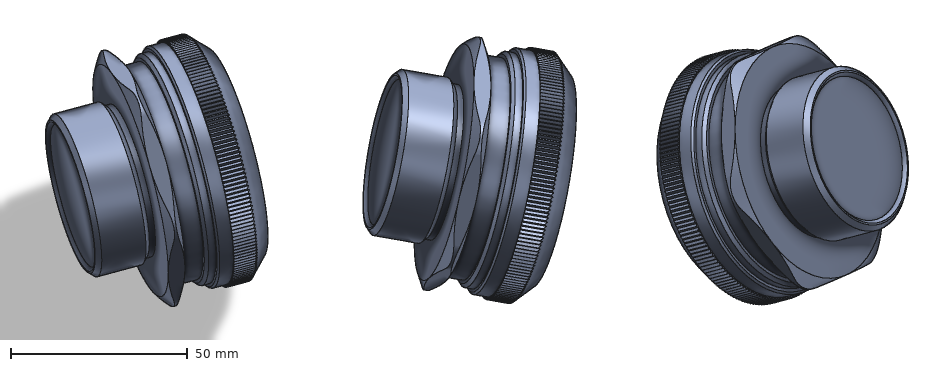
import cadquery as cq
import math


spigot_diameter = 47.8
spigot_neck_diameter = 44.9
spigot_chamfer = (spigot_diameter - spigot_neck_diameter) / 2
spigot_shoulder_end = 16.1
recess_mouth_diameter = 43.8
recess_floor_diameter = 41.8
recess_depth = (recess_mouth_diameter - recess_floor_diameter) / 2

hex_start = 17.95
hex_thickness = 5.0
hex_across_flats = 68.0
hex_across_rounded_corners = 75.4
hex_bevel_angle = 30.0
hex_end = hex_start + hex_thickness

body_neck_diameter = 64.0
ring_start = 29.0
ring_diameter = 68.0
ring_chamfer = 1.0
collar_start = 32.2
collar_diameter = 71.0
collar_chamfer = 0.6

cap_start = 36.9
cap_end = 48.8
cap_diameter = 72.5
cap_face_diameter = 61.5
cap_cone_height = (cap_diameter - cap_face_diameter) / 2
knurl_root_diameter = 71.1
tooth_count = 180


def revolve_about_y(profile):
    """Solid of revolution from (radius, y) points, closed along the Y axis."""
    points = [(0, profile[0][1])] + profile + [(0, profile[-1][1])]
    return cq.Workplane("XY").polyline(points).close().revolve(360, (0, 0, 0), (0, 1, 0))


def plane_at(y):
    """XZ workplane at the given Y; extrude by a negative distance to go towards +Y."""
    return cq.Workplane("XZ", origin=(0, y, 0))


def make_spigot():
    radius = spigot_diameter / 2
    neck_radius = spigot_neck_diameter / 2
    spigot = revolve_about_y([
        (neck_radius, 0),
        (radius, spigot_chamfer),
        (radius, spigot_shoulder_end - spigot_chamfer),
        (neck_radius, spigot_shoulder_end),
        (neck_radius, hex_start),
    ])
    recess = revolve_about_y([
        (recess_mouth_diameter / 2, 0),
        (recess_floor_diameter / 2, recess_depth),
    ])
    return spigot.cut(recess)


def make_hexagon():
    corner_to_flat_ratio = 1 / math.cos(math.pi / 6)
    across_corners = hex_across_flats * corner_to_flat_ratio
    corner_removed = (across_corners - hex_across_rounded_corners) / 2
    corner_radius = corner_removed / (corner_to_flat_ratio - 1)
    prism = (
        plane_at(hex_start)
        .transformed(rotate=(0, 0, 90))
        .polygon(6, across_corners)
        .extrude(-hex_thickness)
        .edges("|Y")
        .fillet(corner_radius)
    )
    face_radius = hex_across_flats / 2
    bevel_slope = math.tan(math.radians(hex_bevel_angle))
    rim_radius = face_radius + hex_thickness / 2 / bevel_slope
    double_cone = revolve_about_y([
        (face_radius, hex_start),
        (rim_radius, hex_start + hex_thickness / 2),
        (face_radius, hex_end),
    ])
    return prism.intersect(double_cone)


def make_body():
    neck_radius = body_neck_diameter / 2
    ring_radius = ring_diameter / 2
    collar_radius = collar_diameter / 2
    return revolve_about_y([
        (neck_radius, hex_end),
        (neck_radius, ring_start),
        (ring_radius - ring_chamfer, ring_start),
        (ring_radius, ring_start + ring_chamfer),
        (ring_radius, collar_start),
        (collar_radius - collar_chamfer, collar_start),
        (collar_radius, collar_start + collar_chamfer),
        (collar_radius, cap_start),
    ])


def make_cap():
    radius = cap_diameter / 2
    envelope = revolve_about_y([
        (radius, cap_start),
        (radius, cap_end - cap_cone_height),
        (cap_face_diameter / 2, cap_end),
    ])
    outline = []
    for index in range(2 * tooth_count):
        angle = math.pi * index / tooth_count
        point_radius = radius if index % 2 == 0 else knurl_root_diameter / 2
        outline.append((point_radius * math.cos(angle), point_radius * math.sin(angle)))
    toothed_prism = plane_at(cap_start).polyline(outline).close().extrude(cap_start - cap_end)
    return toothed_prism.intersect(envelope)


result = make_spigot().union(make_hexagon()).union(make_body()).union(make_cap())